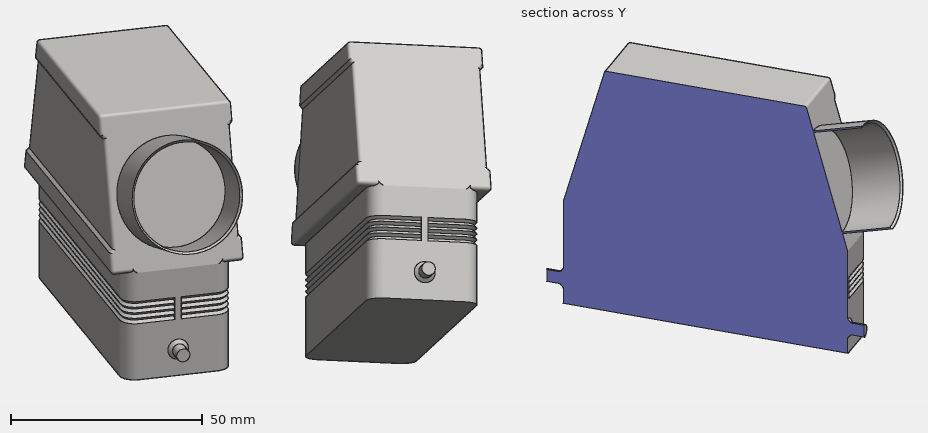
import cadquery as cq
import math

base_length = 79.5
base_width = 29.5
base_corner_radius = 4.1

hood_bottom = 30.0
part_height = 70.5
hood_width = 36.0
hood_slope = 16.0
hood_edge_radius = 0.9

recess_depth = 0.85
recess_bottom = 35.6
recess_top = 65.1

groove_count = 4
groove_pitch = 1.55
groove_flank_angle = 45.0
groove_middle_height = 18.9
groove_gap = 1.8

pin_diameter = 3.6
pin_height = 7.4
pin_span = 88.7
pin_collar_diameter = 5.6
pin_collar_length = 0.9

spout_diameter = 30.0
spout_rim_chamfer = 0.6
spout_length = 14.4
spout_axis_height = 49.3

slope_tangent = math.tan(math.radians(hood_slope))


def hood_end_x(height):
    """X of the sloped +X end at a given height."""
    return base_length / 2 - (height - hood_bottom) * slope_tangent


def sloped_envelope(bottom, top, width):
    """Trapezoidal slice of the sharp-edged hood between two heights."""
    corners = [
        (-hood_end_x(bottom), bottom),
        (hood_end_x(bottom), bottom),
        (hood_end_x(top), top),
        (-hood_end_x(top), top),
    ]
    return cq.Workplane("XZ").polyline(corners).close().extrude(width / 2, both=True)


def rounded_outline(height):
    """Rounded rectangle of the base, lying at a given height."""
    outline = cq.Sketch().rect(base_length, base_width).vertices().fillet(base_corner_radius)
    return cq.Workplane("XY", origin=(0, 0, height)).placeSketch(outline)


def end_edges(body):
    """Edges that frame both sloped end faces."""
    left_face = cq.selectors.CenterNthSelector(cq.Vector(1, 0, 0), 0)
    right_face = cq.selectors.CenterNthSelector(cq.Vector(1, 0, 0), -1)
    return body.faces(left_face).edges().add(body.faces(right_face).edges())


def recess_bar(side):
    """Bar with 45 degree flanks along one broad face; side is +1 or -1 along Y."""
    outer = side * hood_width / 2
    inner = outer - side * recess_depth
    section = [
        (outer, recess_bottom),
        (inner, recess_bottom + recess_depth),
        (inner, recess_top - recess_depth),
        (outer, recess_top),
    ]
    return cq.Workplane("YZ").polyline(section).close().extrude(base_length, both=True)


def make_hood():
    hood = sloped_envelope(hood_bottom, part_height, hood_width)
    for side in (1, -1):
        hood = hood.cut(recess_bar(side))
    rim_edges = hood.faces("<Z or >Z").edges("|X")
    return end_edges(hood).add(rim_edges).fillet(hood_edge_radius)


def make_groove(middle_height):
    """Slice of the base that necks in to the groove root at its middle height."""
    half_pitch = groove_pitch / 2
    lower = rounded_outline(middle_height - half_pitch).extrude(half_pitch, taper=groove_flank_angle)
    upper = rounded_outline(middle_height + half_pitch).extrude(-half_pitch, taper=groove_flank_angle)
    return lower.union(upper)


def make_base():
    grooves_height = groove_count * groove_pitch
    grooves_bottom = groove_middle_height - grooves_height / 2
    grooves_top = grooves_bottom + grooves_height

    base = rounded_outline(0).extrude(grooves_bottom)
    for index in range(groove_count):
        base = base.union(make_groove(grooves_bottom + (index + 0.5) * groove_pitch))
    base = base.union(rounded_outline(grooves_top).extrude(hood_bottom - grooves_top))

    strip = cq.Workplane("XY", origin=(0, 0, grooves_bottom)).rect(base_length, groove_gap)
    return base.union(strip.extrude(grooves_height))


def make_neck():
    """Sharp-edged joint that carries the base outline up past the rounded lower rim of the hood."""
    neck_height = 2 * hood_edge_radius
    neck = rounded_outline(hood_bottom).extrude(neck_height)
    return neck.intersect(sloped_envelope(hood_bottom, hood_bottom + neck_height, base_width))


def make_pins():
    """One rod through the base, with a conical collar where it leaves each end."""
    rod = cq.Workplane("YZ", origin=(0, 0, pin_height)).circle(pin_diameter / 2)
    rod = rod.extrude(pin_span / 2, both=True)

    half_length = base_length / 2
    collar_end = half_length + pin_collar_length
    collar_section = [
        (-collar_end, 0),
        (-collar_end, pin_diameter / 2),
        (-half_length, pin_collar_diameter / 2),
        (half_length, pin_collar_diameter / 2),
        (collar_end, pin_diameter / 2),
        (collar_end, 0),
    ]
    collar = cq.Workplane("XZ", origin=(0, 0, pin_height)).polyline(collar_section).close()
    return rod.union(collar.revolve(360, (0, 0, 0), (1, 0, 0)))


def make_spout():
    """Thin-walled tube whose bore stops at the end face of the hood."""
    tilt = math.radians(hood_slope)
    root = cq.Vector(hood_end_x(spout_axis_height), 0, spout_axis_height)
    axis = cq.Vector(math.cos(tilt), 0, math.sin(tilt))
    outer_radius = spout_diameter / 2
    bore_radius = outer_radius - spout_rim_chamfer
    bore_end = spout_length - spout_rim_chamfer

    section = [
        (0, -hood_edge_radius),
        (outer_radius, -hood_edge_radius),
        (outer_radius, spout_length),
        (bore_radius, bore_end),
        (bore_radius, 0),
        (0, 0),
    ]
    section_plane = cq.Plane(origin=root, xDir=(0, 1, 0), normal=cq.Vector(0, 1, 0).cross(axis))
    return cq.Workplane(section_plane).polyline(section).close().revolve(360, (0, 0, 0), (0, 1, 0))


result = make_hood()
for feature in (make_neck(), make_base(), make_pins(), make_spout()):
    result = result.union(feature)